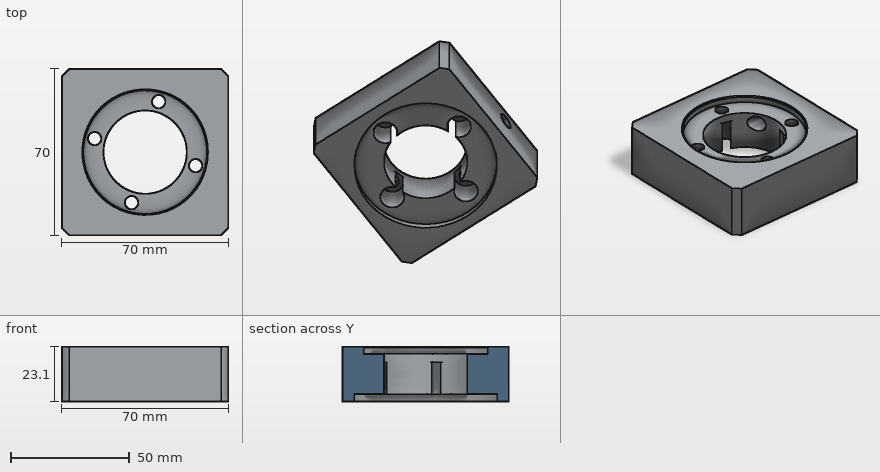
import cadquery as cq

SIDE = 70.0
HEIGHT = 23.1
CORNER_CHAMFER = 3.0

BORE_DIAMETER = 35.0
TOP_RECESS_DIAMETER = 52.0
TOP_RECESS_DEPTH = 3.0
TOP_RIM_CHAMFER = 0.5
BOTTOM_RECESS_DIAMETER = 60.0
BOTTOM_RECESS_DEPTH = 3.1

BOLT_COUNT = 4
BOLT_CIRCLE_DIAMETER = 44.0
BOLT_START_ANGLE = -15.0
BOLT_HOLE_DIAMETER = 5.5
COUNTERBORE_DIAMETER = 10.0
COUNTERBORE_TOP_Z = 16.6

SIDE_HOLE_DIAMETER = 7.0
SIDE_HOLE_Y = -9.0
SIDE_HOLE_Z = 15.3


def cylinder_up(diameter, bottom_z, top_z):
    """Upright cylinder on the Z axis between two heights."""
    return cq.Workplane("XY", origin=(0, 0, bottom_z)).circle(diameter / 2).extrude(top_z - bottom_z)


def make_block():
    """Square block standing on Z = 0 with chamfered vertical corners."""
    block = cq.Workplane("XY").box(SIDE, SIDE, HEIGHT, centered=(True, True, False))
    return block.edges("|Z").chamfer(CORNER_CHAMFER)


def make_bore():
    """Through bore with a recess at each end, the top recess having a chamfered rim."""
    rim_cone = (
        cq.Workplane("XY", origin=(0, 0, HEIGHT))
        .circle(TOP_RECESS_DIAMETER / 2 + TOP_RIM_CHAMFER)
        .workplane(offset=-TOP_RIM_CHAMFER)
        .circle(TOP_RECESS_DIAMETER / 2)
        .loft()
    )
    top_recess = cylinder_up(TOP_RECESS_DIAMETER, HEIGHT - TOP_RECESS_DEPTH, HEIGHT)
    bottom_recess = cylinder_up(BOTTOM_RECESS_DIAMETER, 0, BOTTOM_RECESS_DEPTH)
    bore = cylinder_up(BORE_DIAMETER, 0, HEIGHT)
    return bore.union(top_recess).union(bottom_recess).union(rim_cone)


def make_bolt_hole(angle):
    """Through hole with its counterbore, placed on the bolt circle at an angle in degrees."""
    hole = cylinder_up(BOLT_HOLE_DIAMETER, 0, HEIGHT)
    counterbore = cylinder_up(COUNTERBORE_DIAMETER, BOTTOM_RECESS_DEPTH, COUNTERBORE_TOP_Z)
    stepped_hole = hole.union(counterbore).translate((BOLT_CIRCLE_DIAMETER / 2, 0, 0))
    return stepped_hole.rotate((0, 0, 0), (0, 0, 1), angle)


def make_side_hole():
    """Hole along X from the -X face, ending inside the bore."""
    side_plane = cq.Workplane("YZ", origin=(-SIDE / 2, SIDE_HOLE_Y, SIDE_HOLE_Z))
    return side_plane.circle(SIDE_HOLE_DIAMETER / 2).extrude(SIDE / 2)


result = make_block().cut(make_bore()).cut(make_side_hole())
for index in range(BOLT_COUNT):
    bolt_angle = BOLT_START_ANGLE + index * 360 / BOLT_COUNT
    result = result.cut(make_bolt_hole(bolt_angle))